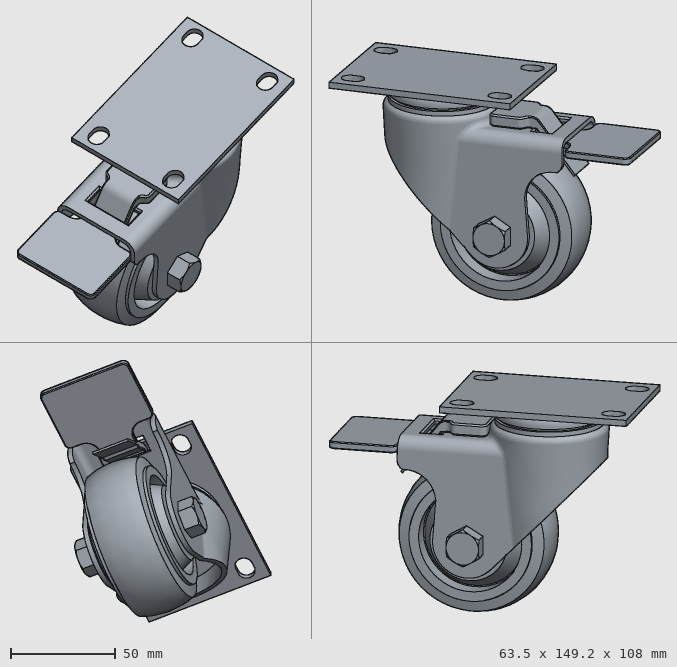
import cadquery as cq
import math

total_height = 107.95
total_length = 149.15

plate_width = 63.5
plate_length = 92.08
plate_thickness = 3.05
slot_width = 8.4
slot_length = 11.3
slot_pitch_x = 44.45
slot_pitch_y = 74.7

ring_diameter = 52.2
groove_diameter = 48.64
dome_height = 4.8
dome_radius = 5.4
upper_ring_height = 1.35
groove_height = 1.35
lower_ring_height = 2.3

crown_radius = 28.5
crown_edge_radius = 3.15
crown_draft = 3.0
wall = 2.5
fork_half_width = 22.86
deck_drop = 19.3
deck_thickness = 2.4
deck_bend_radius = 6.3
blend_radius = 3.2
leg_end_radius = 16.75
back_slope = 45.7
notch_radius = 14.8
notch_centre_y = -65.0
notch_centre_z = 58.1
deck_front_y = -68.8
ear_front_y = -69.3
ear_radius = 5.9
ear_width = 2.6

opening_width = 25.9
opening_rear_y = -49.4
opening_front_y = -60.6
opening_chamfer = 0.9

axle_diameter = 12.7
head_flats = 16.0
head_height = 8.1
head_chamfer = 0.9

wheel_radius = 38.1
wheel_offset = 34.925
tread_edge_radius = 35.7
tread_half_width = 13.3
tyre_half_width = 14.5
rim_diameter = 60.33
rim_half_width = 16.06
rim_recess_radius = 25.4
recess_floor_half_width = 7.0
hub_root_radius = 24.75
hub_end_radius = 19.0
hub_half_width = 19.28

block_chamfer = 0.8
lever_chamfer = 0.5
block_half_width = 12.96
block_height = 6.05
block_rear_y = -27.9
block_rear_radius = 3.1
block_taper_length = 5.4
lever_half_width = 9.2
lever_thickness = 3.9
pedal_thickness = 3.6
lever_slope = 51.0
bend_start_y = -48.4
bend_radius = 5.5
pedal_top_z = 84.2
pedal_rear_y = -69.9
pedal_front_y = plate_length / 2 - total_length
pedal_corner_radius = 2.9
neck_blend_radius = 6.5
tongue_depth = 1.4
tongue_thickness = 1.1
tongue_tip_z = 67.9

plate_bottom_z = total_height - plate_thickness
dome_bottom_z = plate_bottom_z - dome_height
groove_top_z = dome_bottom_z - upper_ring_height
groove_bottom_z = groove_top_z - groove_height
crown_top_z = groove_bottom_z - lower_ring_height
crown_edge_z = crown_top_z - crown_edge_radius
deck_top_z = total_height - deck_drop
deck_bottom_z = deck_top_z - deck_thickness
axle_y = -wheel_offset
axle_z = wheel_radius
pedal_bottom_z = pedal_top_z - pedal_thickness
fork_inner_half_width = fork_half_width - wall
ring_radius = ring_diameter / 2
draft_rate = math.tan(math.radians(crown_draft))


def build_plate():
    """Mounting plate with a slot at each corner."""
    plate = (
        cq.Workplane("XY", origin=(0, 0, plate_bottom_z))
        .rect(plate_width, plate_length)
        .extrude(plate_thickness)
    )
    slots = (
        cq.Workplane("XY", origin=(0, 0, plate_bottom_z))
        .rect(slot_pitch_x, slot_pitch_y, forConstruction=True)
        .vertices()
        .slot2D(slot_length, slot_width, 90)
        .extrude(plate_thickness)
    )
    return plate.cut(slots)


def build_swivel_head():
    """Domed ring and plain ring, parted by a groove, from the plate down to the crown."""
    dome_top_radius = ring_radius - dome_radius + math.sqrt(dome_radius**2 - dome_height**2)
    half_height = dome_height / 2
    dome_mid_radius = ring_radius - dome_radius + math.sqrt(dome_radius**2 - half_height**2)
    return (
        cq.Workplane("XZ")
        .moveTo(0, plate_bottom_z)
        .lineTo(dome_top_radius, plate_bottom_z)
        .threePointArc((dome_mid_radius, dome_bottom_z + half_height), (ring_radius, dome_bottom_z))
        .lineTo(ring_radius, groove_top_z)
        .lineTo(groove_diameter / 2, groove_top_z)
        .lineTo(groove_diameter / 2, groove_bottom_z)
        .lineTo(ring_radius, groove_bottom_z)
        .lineTo(ring_radius, crown_top_z)
        .lineTo(0, crown_top_z)
        .close()
        .revolve(360, (0, 0, 0), (0, 1, 0))
    )


def crown_cone(radius, top_z):
    """Solid crown that narrows downward to the floor; the radius is the one at the crown edge."""
    return (
        cq.Workplane("XZ")
        .moveTo(0, 0)
        .lineTo(radius - draft_rate * crown_edge_z, 0)
        .lineTo(radius + draft_rate * (top_z - crown_edge_z), top_z)
        .lineTo(0, top_z)
        .close()
        .revolve(360, (0, 0, 0), (0, 1, 0))
    )


def arm_block(half_width, top_z, top_radius, front_y):
    """Bar of the legs and deck, running forward from the swivel axis, with rounded top edges."""
    return (
        cq.Workplane("XY")
        .box(2 * half_width, -front_y, top_z, centered=(True, False, False))
        .translate((0, front_y, 0))
        .edges("|Y and >Z")
        .fillet(top_radius)
    )


def fork_side_outline():
    """Side shape of the fork: sloping back, round leg ends, notch over the wheel and deck front."""
    diagonal = math.sqrt(0.5)
    back_angle = math.radians(back_slope)
    back_y = axle_y + leg_end_radius * math.sin(back_angle)
    back_z = axle_z - leg_end_radius * math.cos(back_angle)
    rear_y = crown_radius + wall
    rear_z = back_z + (rear_y - back_y) * math.tan(back_angle)

    rise = notch_centre_z - axle_z
    run = axle_y - notch_centre_y
    lean = math.atan2(rise, run) - math.acos((leg_end_radius + notch_radius) / math.hypot(run, rise))
    leg_front_y = axle_y - leg_end_radius * math.cos(lean)
    leg_front_z = axle_z + leg_end_radius * math.sin(lean)
    notch_rear_y = notch_centre_y + notch_radius * math.cos(lean)
    notch_rear_z = notch_centre_z - notch_radius * math.sin(lean)

    notch_top_z = notch_centre_z + notch_radius
    ear_height = math.sqrt(ear_radius**2 - (ear_radius - ear_width) ** 2)
    return (
        cq.Workplane("YZ")
        .moveTo(rear_y, crown_top_z)
        .lineTo(rear_y, rear_z)
        .lineTo(back_y, back_z)
        .threePointArc((axle_y, axle_z - leg_end_radius), (leg_front_y, leg_front_z))
        .lineTo(notch_rear_y, notch_rear_z)
        .threePointArc(
            (notch_centre_y + notch_radius * diagonal, notch_centre_z + notch_radius * diagonal),
            (notch_centre_y, notch_top_z),
        )
        .lineTo(ear_front_y + ear_width, notch_top_z)
        .radiusArc((ear_front_y, notch_top_z + ear_height), ear_radius)
        .lineTo(deck_front_y, deck_top_z)
        .lineTo(deck_front_y, crown_top_z)
        .close()
        .extrude(rear_y, both=True)
    )


def build_fork():
    """Hollow crown, deck and legs, trimmed to the side outline."""
    untrimmed_front_y = 2 * ear_front_y
    crown = crown_cone(crown_radius, crown_top_z).faces(">Z").edges().fillet(crown_edge_radius)
    arm = arm_block(fork_half_width, deck_top_z, deck_bend_radius, untrimmed_front_y)
    outside = crown.union(arm)

    margin = 0.1
    reach = crown_radius + margin
    seam = cq.selectors.BoxSelector(
        (-reach, -reach, margin),
        (reach, -margin, crown_edge_z - margin),
    )
    outside = outside.edges(seam).fillet(blend_radius)

    cavity = crown_cone(crown_radius - wall, crown_top_z - wall).union(
        arm_block(fork_inner_half_width, deck_bottom_z, deck_bend_radius - wall, untrimmed_front_y)
    )
    return outside.intersect(fork_side_outline()).cut(cavity)


def lever_opening():
    """Rectangular hole through the deck, chamfered at the top."""
    opening_length = opening_rear_y - opening_front_y
    inner_width = opening_width - 2 * opening_chamfer
    inner_length = opening_length - 2 * opening_chamfer
    centre_y = (opening_rear_y + opening_front_y) / 2
    return (
        cq.Workplane("XY", origin=(0, centre_y, deck_top_z))
        .rect(inner_width, inner_length)
        .extrude(-deck_thickness)
        .union(
            cq.Workplane("XY", origin=(0, centre_y, deck_top_z))
            .rect(opening_width, opening_length)
            .extrude(-opening_chamfer, taper=45)
        )
    )


def build_axle():
    """Axle with a chamfered hexagon head on the outside of each leg."""
    axle = (
        cq.Workplane("YZ", origin=(-fork_half_width, axle_y, axle_z))
        .circle(axle_diameter / 2)
        .extrude(2 * fork_half_width)
    )
    corner_distance = head_flats / math.cos(math.radians(30))
    for side in (-1, 1):
        plane = cq.Plane((side * fork_half_width, axle_y, axle_z), (0, 1, 0), (side, 0, 0))
        corner_round = (
            cq.Workplane(plane)
            .circle(corner_distance / 2)
            .extrude(head_height)
            .faces("<X" if side < 0 else ">X")
            .chamfer(head_chamfer, (corner_distance - head_flats) / 2)
        )
        head = (
            cq.Workplane(plane)
            .transformed(rotate=(0, 0, 90))
            .polygon(6, corner_distance)
            .extrude(head_height)
            .intersect(corner_round)
        )
        axle = axle.union(head)
    return axle


def build_frame():
    """Plate, swivel head, fork and axle as one body."""
    fork = build_fork().cut(lever_opening())
    return build_plate().union(build_swivel_head()).union(fork).union(build_axle())


def build_wheel():
    """Wheel turned about the axle: crowned tread, conical tyre sides, rim, recess and flared hub."""
    bore_radius = axle_diameter / 2
    rim_radius = rim_diameter / 2
    return (
        cq.Workplane("XY")
        .moveTo(-hub_half_width, bore_radius)
        .lineTo(-hub_half_width, hub_end_radius)
        .lineTo(-recess_floor_half_width, hub_root_radius)
        .lineTo(-recess_floor_half_width, rim_recess_radius)
        .lineTo(-rim_half_width, rim_recess_radius)
        .lineTo(-rim_half_width, rim_radius)
        .lineTo(-tyre_half_width, rim_radius)
        .lineTo(-tread_half_width, tread_edge_radius)
        .threePointArc((0, wheel_radius), (tread_half_width, tread_edge_radius))
        .lineTo(tyre_half_width, rim_radius)
        .lineTo(rim_half_width, rim_radius)
        .lineTo(rim_half_width, rim_recess_radius)
        .lineTo(recess_floor_half_width, rim_recess_radius)
        .lineTo(recess_floor_half_width, hub_root_radius)
        .lineTo(hub_half_width, hub_end_radius)
        .lineTo(hub_half_width, bore_radius)
        .close()
        .revolve(360, (0, 0, 0), (1, 0, 0))
        .translate((0, axle_y, axle_z))
    )


slope_angle = math.radians(lever_slope)
slope_sin = math.sin(slope_angle)
slope_cos = math.cos(slope_angle)
block_top_z = deck_top_z + block_height
block_taper_y = bend_start_y + block_taper_length
bend_centre_z = block_top_z - bend_radius


def lever_point(depth, z):
    """Point of the sloping stretch at height z, at the given depth below its top surface."""
    radius = bend_radius - depth
    start_y = bend_start_y - radius * slope_sin
    start_z = bend_centre_z + radius * slope_cos
    return (start_y - (start_z - z) * slope_cos / slope_sin, z)


def bend_point(angle):
    """Point on top of the bend, turned by the given angle from its flat start."""
    return (
        bend_start_y - bend_radius * math.sin(angle),
        bend_centre_z + bend_radius * math.cos(angle),
    )


def build_brake_block():
    """Flat block with rounded rear corners that narrows in S-curves to the lever."""
    half_length = block_taper_length / 2
    half_step = (block_half_width - lever_half_width) / 2
    arc_radius = (half_length**2 + half_step**2) / (2 * half_step)
    middle = (lever_half_width + half_step, block_taper_y - half_length)
    return (
        cq.Workplane("XY", origin=(0, 0, deck_top_z))
        .moveTo(0, block_rear_y)
        .lineTo(block_half_width, block_rear_y)
        .lineTo(block_half_width, block_taper_y)
        .radiusArc(middle, arc_radius)
        .radiusArc((lever_half_width, bend_start_y), -arc_radius)
        .lineTo(0, bend_start_y)
        .mirrorY()
        .extrude(block_height)
        .edges("|Z and >Y")
        .fillet(block_rear_radius)
        .faces("<Z or >Z")
        .edges("not <Y")
        .chamfer(block_chamfer)
    )


def build_lever():
    """Strip that leaves the block flat, bends down and slopes through the deck to the pedal."""
    return (
        cq.Workplane("YZ", origin=(-lever_half_width, 0, 0))
        .moveTo(block_taper_y, block_top_z)
        .lineTo(bend_start_y, block_top_z)
        .threePointArc(bend_point(slope_angle / 2), bend_point(slope_angle))
        .lineTo(*lever_point(0, pedal_bottom_z))
        .lineTo(*lever_point(lever_thickness, pedal_bottom_z))
        .lineTo(*lever_point(lever_thickness, deck_top_z))
        .lineTo(block_taper_y, deck_top_z)
        .close()
        .extrude(2 * lever_half_width)
        .faces("<X or >X")
        .edges()
        .chamfer(lever_chamfer)
    )


def build_pedal():
    """Flat pedal with rounded corners, on a neck that widens out from the lever."""
    pedal_half_width = fork_half_width
    neck_rear_y = lever_point(lever_thickness / 2, pedal_top_z - pedal_thickness / 2)[0]
    return (
        cq.Workplane("XY", origin=(0, 0, pedal_bottom_z))
        .moveTo(0, neck_rear_y)
        .lineTo(lever_half_width, neck_rear_y)
        .lineTo(lever_half_width, pedal_rear_y + neck_blend_radius)
        .radiusArc((lever_half_width + neck_blend_radius, pedal_rear_y), -neck_blend_radius)
        .lineTo(pedal_half_width - pedal_corner_radius, pedal_rear_y)
        .radiusArc((pedal_half_width, pedal_rear_y - pedal_corner_radius), pedal_corner_radius)
        .lineTo(pedal_half_width, pedal_front_y + pedal_corner_radius)
        .radiusArc((pedal_half_width - pedal_corner_radius, pedal_front_y), pedal_corner_radius)
        .lineTo(0, pedal_front_y)
        .mirrorY()
        .extrude(pedal_thickness)
        .faces("<Z or >Z")
        .edges()
        .chamfer(lever_chamfer)
    )


def build_tongue():
    """Thin strip inside the lever that carries on along its slope, past the pedal."""
    tongue_back_depth = tongue_depth + tongue_thickness
    tip_y, tip_z = lever_point(tongue_depth, tongue_tip_z)
    back_tip = (tip_y + tongue_thickness * slope_sin, tip_z - tongue_thickness * slope_cos)
    return (
        cq.Workplane("YZ", origin=(-lever_half_width, 0, 0))
        .moveTo(*lever_point(tongue_depth, pedal_top_z))
        .lineTo(tip_y, tip_z)
        .lineTo(*back_tip)
        .lineTo(*lever_point(tongue_back_depth, pedal_top_z))
        .close()
        .extrude(2 * lever_half_width)
    )


def build_brake(frame):
    """One-piece brake; its rear edge is hollowed where it sits against the crown."""
    brake = build_brake_block().union(build_lever()).union(build_pedal()).union(build_tongue())
    return brake.cut(frame)


frame = build_frame()
wheel = build_wheel()
brake = build_brake(frame)

result = cq.Compound.makeCompound([frame.solids().val(), wheel.solids().val(), brake.solids().val()])